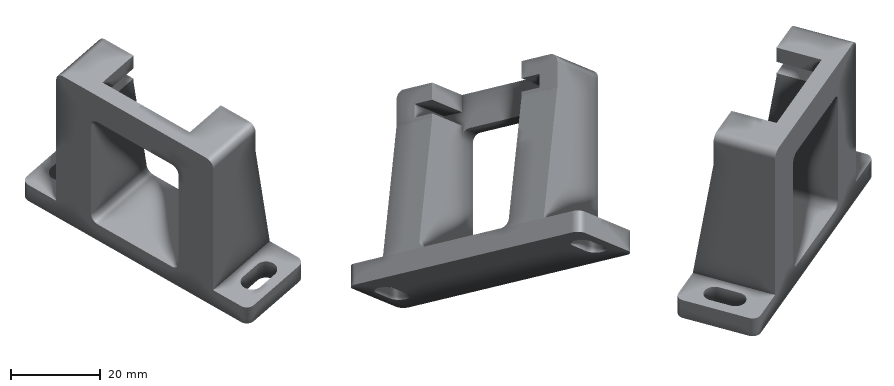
import cadquery as cq

base_length = 65.0
base_depth = 20.0
base_height = 5.0
corner_radius = 2.0

slot_width = 5.0
slot_length = 10.0
slot_end_distance = 5.0

total_height = 45.2
tower_width = 45.0
tower_top_depth = 15.0
lean_top_height = 37.0

opening_width = 25.0
plate_thickness = 4.0
window_top = lean_top_height

lip_height = 4.0
groove_height = 3.2
groove_depth = 5.0

front_y = -base_depth / 2
back_y = base_depth / 2
plate_back_y = front_y + plate_thickness


def make_base():
    base = cq.Workplane("XY").box(base_length, base_depth, base_height, centered=(True, True, False))
    base = base.edges("|Z").fillet(corner_radius)
    slot_x = base_length / 2 - slot_end_distance
    slots = (
        cq.Workplane("XY")
        .pushPoints([(-slot_x, 0), (slot_x, 0)])
        .slot2D(slot_length, slot_width, 90)
        .extrude(base_height)
    )
    return base.cut(slots)


def make_tower():
    tower_top_y = front_y + tower_top_depth
    side_profile = [
        (front_y, base_height),
        (back_y, base_height),
        (tower_top_y, lean_top_height),
        (tower_top_y, total_height),
        (front_y, total_height),
    ]
    tower = cq.Workplane("YZ").polyline(side_profile).close().extrude(tower_width / 2, both=True)
    return tower.edges("|Y and >Z").fillet(corner_radius)


def make_window():
    """Rounded window running from front to back just above the base."""
    window_height = window_top - base_height
    return (
        cq.Workplane("XY")
        .box(opening_width, base_depth, window_height, centered=(True, True, False))
        .translate((0, 0, base_height))
        .edges("|Y")
        .fillet(corner_radius)
    )


def make_rear_opening():
    """Gap between the side walls behind the plate, open at the top and back."""
    depth = back_y - plate_back_y
    height = total_height - base_height
    return (
        cq.Workplane("XY")
        .box(opening_width, depth, height, centered=(True, False, False))
        .edges("|Y and <Z")
        .fillet(corner_radius)
        .translate((0, plate_back_y, base_height))
    )


def make_grooves():
    """One bar spanning the opening that cuts the groove in both side walls."""
    groove_bottom = total_height - lip_height - groove_height
    return (
        cq.Workplane("XY")
        .box(
            opening_width + 2 * groove_depth,
            back_y - plate_back_y,
            groove_height,
            centered=(True, False, False),
        )
        .translate((0, plate_back_y, groove_bottom))
    )


result = make_base().union(make_tower())
result = result.cut(make_window()).cut(make_rear_opening()).cut(make_grooves())